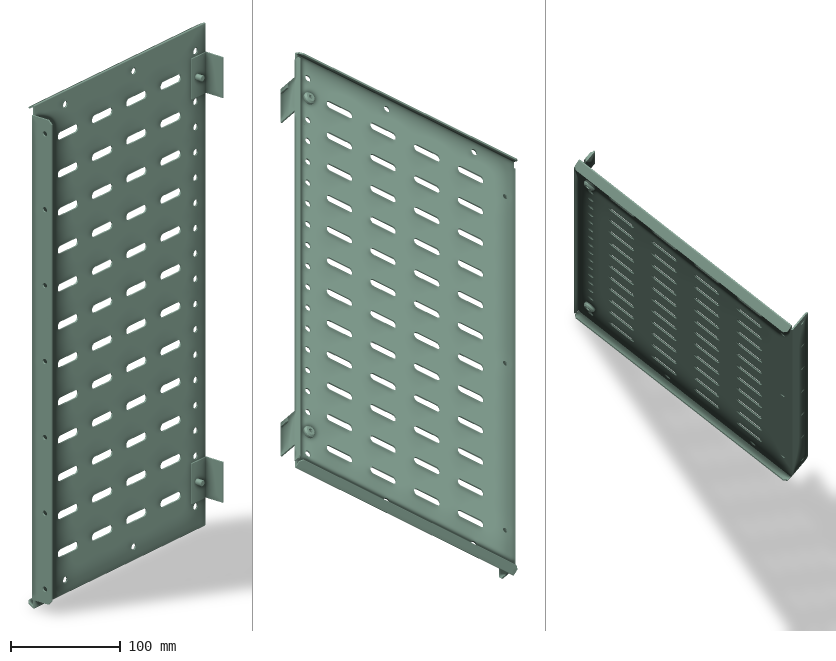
import cadquery as cq
import math

sheet = 1.5
panel_width = 251.75
flange_end_x = 22.63
lip_end_x = -6.0
flange_height = 478.6
lip_height = 480.8
flange_corner = 3.5
lip_corner = 2.0

panel_height = 497.3
hook_end_x = -7.9
hook_slope = math.radians(30)
hook_y_min = -124.25
hook_y_max = 125.25
hook_corner = 3.0
hook_bend_outside = 1.0

slot_length = 30.0
slot_width = 8.0
slot_columns = 4
slot_column_pitch = 50.0
slot_rows = 12
slot_row_pitch = 37.5
hole_line_y = 111.25
hole_line_pitch = 25.0
hole_line_count = 19
hole_line_diameter = 6.6
edge_hole_diameter = 6.5
edge_hole_z = 235.0
edge_hole_ys = (21.0, -79.0)
rear_hole_y = -114.2
rear_hole_zs = (-200.0, 0.0, 200.0)
rear_hole_diameter = 5.0
flange_hole_x = 15.0
flange_hole_diameter = 5.0
flange_hole_pitch = 75.0
flange_hole_count = 7

fixing_zs = (-200.0, 200.0)
bracket_setback = 0.25
bracket_face_y = panel_width / 2 - bracket_setback
bracket_leg = 21.5
bracket_height = 40.0
tab_x_min = 10.5
tab_x_max = 20.5
tab_height = 4.5
tab_offset_z = 15.0
tab_top_y = panel_width / 2 + sheet
screw_diameter = 6.0
screw_end_x = 9.7
screw_chamfer = 0.5
head_diameter = 11.8
head_height = 4.0
head_chamfer = 1.5
socket_across_flats = 4.0
socket_depth = 2.0


def box(x_min, x_max, y_min, y_max, z_min, z_max):
    size = (x_max - x_min, y_max - y_min, z_max - z_min)
    return cq.Workplane("XY").box(*size, centered=False).translate((x_min, y_min, z_min))


def rod_x(x_min, x_max, diameter, y, z):
    rod = cq.Workplane("YZ").circle(diameter / 2).extrude(x_max - x_min)
    return rod.translate((x_min, y, z))


def spread(count, pitch):
    """Places at an even pitch, centred on zero."""
    return [(i - (count - 1) / 2) * pitch for i in range(count)]


def make_sheet():
    """Flat sheet with the flange bent back at -Y and the lip bent forward at +Y."""
    half_width = panel_width / 2
    half_flange = flange_height / 2
    half_lip = lip_height / 2
    web = box(0, sheet, -half_width, half_width, -half_flange, half_flange)
    flange = box(0, flange_end_x, -half_width, sheet - half_width, -half_flange, half_flange)
    flange = flange.edges("|Y and >X").chamfer(flange_corner)
    lip = box(lip_end_x, sheet, half_width - sheet, half_width, -half_lip, half_lip)
    lip = lip.edges("|Y and <X").chamfer(lip_corner)
    return web.union(flange).union(lip)


def top_hook():
    """Sheet edge that runs up, folds forward and falls to its free edge."""
    centre_x = sheet - hook_bend_outside
    centre_z = panel_height / 2 - hook_bend_outside
    root_z = flange_height / 2 - sheet
    sin_slope = math.sin(hook_slope)
    cos_slope = math.cos(hook_slope)
    tan_slope = math.tan(hook_slope)

    def on_bend(angle):
        return (
            centre_x + hook_bend_outside * math.cos(angle),
            centre_z + hook_bend_outside * math.sin(angle),
        )

    turn = math.pi / 2 + hook_slope
    bend_end = on_bend(turn)
    outer_tip = (hook_end_x, bend_end[1] - (bend_end[0] - hook_end_x) * tan_slope)
    inner_tip = (outer_tip[0] + sheet * sin_slope, outer_tip[1] - sheet * cos_slope)
    inner_corner = (0, inner_tip[1] - inner_tip[0] * tan_slope)
    outline = (
        cq.Workplane("XZ")
        .moveTo(sheet, root_z)
        .lineTo(sheet, centre_z)
        .threePointArc(on_bend(turn / 2), bend_end)
        .lineTo(*outer_tip)
        .lineTo(*inner_tip)
        .lineTo(*inner_corner)
        .lineTo(0, root_z)
        .close()
    )
    hook = outline.extrude(hook_y_max - hook_y_min).translate((0, hook_y_max, 0))
    tip_middle = ((outer_tip[0] + inner_tip[0]) / 2, (outer_tip[1] + inner_tip[1]) / 2)
    tip_corners = [(tip_middle[0], y, tip_middle[1]) for y in (hook_y_min, hook_y_max)]
    for corner in tip_corners:
        hook = hook.edges(cq.NearestToPointSelector(corner)).chamfer(hook_corner)
    return hook


def make_panel():
    """Sheet with both hooked edges, cut by the slots and the hole patterns."""
    hook = top_hook()
    panel = make_sheet().union(hook).union(hook.mirror("XY"))
    face = cq.Workplane("YZ")
    slot_ys = spread(slot_columns, slot_column_pitch)
    slot_zs = spread(slot_rows, slot_row_pitch)
    slot_places = [(y, z) for y in slot_ys for z in slot_zs]
    line_places = [(hole_line_y, z) for z in spread(hole_line_count, hole_line_pitch)]
    edge_places = [(y, z) for y in edge_hole_ys for z in (-edge_hole_z, edge_hole_z)]
    rear_places = [(rear_hole_y, z) for z in rear_hole_zs]
    panel = panel.cut(face.pushPoints(slot_places).slot2D(slot_length, slot_width).extrude(sheet))
    panel = panel.cut(face.pushPoints(line_places).circle(hole_line_diameter / 2).extrude(sheet))
    panel = panel.cut(face.pushPoints(edge_places).circle(edge_hole_diameter / 2).extrude(sheet))
    panel = panel.cut(face.pushPoints(rear_places).circle(rear_hole_diameter / 2).extrude(sheet))
    flange_places = [(flange_hole_x, z) for z in spread(flange_hole_count, flange_hole_pitch)]
    flange_holes = cq.Workplane("XZ").pushPoints(flange_places).circle(flange_hole_diameter / 2).extrude(sheet)
    return panel.cut(flange_holes.translate((0, sheet - panel_width / 2, 0)))


def make_bracket(z):
    """Angle bracket behind the sheet, with a tab standing on the outside of its wall."""
    z_min = z - bracket_height / 2
    z_max = z + bracket_height / 2
    foot = box(sheet, 2 * sheet, bracket_face_y - bracket_leg, bracket_face_y, z_min, z_max)
    wall = box(sheet, flange_end_x, bracket_face_y - sheet, bracket_face_y, z_min, z_max)
    tab_z = z + tab_offset_z
    tab = box(tab_x_min, tab_x_max, bracket_face_y, tab_top_y, tab_z - tab_height / 2, tab_z + tab_height / 2)
    hole = rod_x(sheet, 2 * sheet, screw_diameter, hole_line_y, z)
    return foot.union(wall).union(tab).cut(hole)


def make_screw(z):
    """Socket screw through the sheet and the bracket foot, head in front of the sheet."""
    shank = rod_x(0, screw_end_x, screw_diameter, hole_line_y, z).faces(">X").chamfer(screw_chamfer)
    head = rod_x(-head_height, 0, head_diameter, hole_line_y, z).faces("<X").chamfer(head_chamfer)
    socket_across_corners = socket_across_flats / math.cos(math.pi / 6)
    socket = cq.Workplane("YZ").polygon(6, socket_across_corners).extrude(socket_depth)
    return shank.union(head).cut(socket.translate((-head_height, hole_line_y, z)))


panel = make_panel()
brackets = [make_bracket(z) for z in fixing_zs]
screws = [make_screw(z) for z in fixing_zs]
result = cq.Compound.makeCompound([body.val() for body in [panel, *brackets, *screws]])